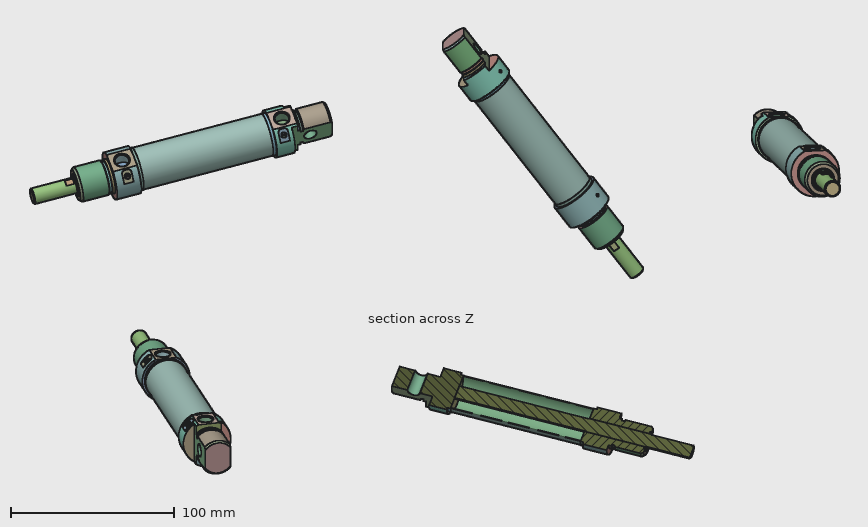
import cadquery as cq
import math


total_length = 190.0
nose_face_y = 28.0
front_head_y = 50.0
rear_head_end_y = 168.0
head_length = 15.5
collar_length = 2.0
front_collar_y = front_head_y + head_length
rear_head_y = rear_head_end_y - head_length
tube_start_y = front_collar_y + collar_length
tube_end_y = rear_head_y - collar_length

head_radius = 15.0
port_face_z = 13.5
collar_radius = 13.5
nose_radius = 11.0
relief_radius = 9.9
relief_offset = 1.7
relief_width = 1.6
relief_slope_length = 0.55
nose_chamfer_length = 1.6
nose_chamfer_height = 1.3

recess_mouth_radius = 7.1
recess_radius = 6.7
recess_depth = 1.0
lip_base_radius = 5.9
lip_tip_radius = 5.25
lip_projection = 0.6

clevis_width = 16.0
clevis_shoulder_y = 164.0
pin_hole_diameter = 8.0
pin_hole_y = 176.0
clevis_chamfer_length = 1.2
clevis_chamfer_height = 1.0

port_diameter = 8.57
port_mouth_diameter = 9.9
port_floor_radius = 6.5
port_mouth_depth = (port_mouth_diameter - port_diameter) / 2

front_screw_y = 58.0
rear_screw_y = (rear_head_y + clevis_shoulder_y) / 2
screw_angle = 45.0
screw_diameter = 3.4
screw_hole_diameter = 3.5
screw_floor_distance = 9.0
screw_head_distance = 15.15
screw_slot_width = 0.6
screw_slot_depth = 0.8
pocket_floor_distance = 14.35
pocket_width = 6.0
pocket_corner_radius = 2.0
pocket_round_end = 4.0
bleed_hole_diameter = 1.8
bleed_hole_depth = 2.0
bleed_hole_z = -8.2

tube_radius = 13.3
tube_bore_radius = 12.5
rod_radius = 5.0
rod_tip_radius = 4.25
rod_flat_height = 4.6
rod_flat_start_y = 21.6
rod_flat_end_y = 26.7


def revolve_about_y(points):
    """Turn a closed (radius, y) outline about the Y axis."""
    return cq.Workplane("XY").polyline(points).close().revolve(360, (0, 0, 0), (0, 1, 0))


def cylinder_y(radius, start_y, end_y):
    return cq.Workplane("XZ", origin=(0, start_y, 0)).circle(radius).extrude(start_y - end_y)


def box_between(low, high):
    size = [b - a for a, b in zip(low, high)]
    return cq.Workplane("XY").box(*size, centered=False).translate(low)


def radial_plane(angle, distance, y):
    """Plane facing away from the Y axis; its own x direction runs around the head."""
    direction = (math.cos(math.radians(angle)), 0, math.sin(math.radians(angle)))
    tangent = (-direction[2], 0, direction[0])
    origin = (distance * direction[0], y, distance * direction[2])
    return cq.Workplane(cq.Plane(origin, tangent, direction))


def cut_port_face(head, start_y, end_y):
    above = box_between((-head_radius, start_y, port_face_z), (head_radius, end_y, head_radius))
    return head.cut(above)


def port_cutter(y):
    mouth_plane = cq.Workplane("XY", origin=(0, y, port_face_z))
    bore = mouth_plane.circle(port_diameter / 2).extrude(-port_face_z)
    core = cylinder_y(port_floor_radius, y - port_diameter, y + port_diameter)
    mouth = cq.Workplane(
        cq.Solid.makeCone(
            port_diameter / 2,
            port_mouth_diameter / 2,
            port_mouth_depth,
            pnt=cq.Vector(0, y, port_face_z - port_mouth_depth),
        )
    )
    return bore.cut(core).union(mouth)


def screw_hole_cutter(y):
    """Flat pocket, rounded at its upper end, with the screw hole through its floor."""
    open_end = math.sqrt(head_radius**2 - pocket_floor_distance**2)
    outline = (
        cq.Sketch()
        .push([((pocket_round_end - open_end) / 2, 0)])
        .rect(pocket_round_end + open_end, pocket_width)
        .reset()
        .vertices(">X")
        .fillet(pocket_corner_radius)
    )
    pocket = (
        radial_plane(screw_angle, pocket_floor_distance, y)
        .placeSketch(outline)
        .extrude(head_radius - pocket_floor_distance)
    )
    hole = (
        radial_plane(screw_angle, screw_floor_distance, y)
        .circle(screw_hole_diameter / 2)
        .extrude(pocket_floor_distance - screw_floor_distance)
    )
    return pocket.union(hole)


def bleed_hole_cutter(y):
    angle = 180 - math.degrees(math.asin(bleed_hole_z / head_radius))
    return (
        radial_plane(angle, head_radius - bleed_hole_depth, y)
        .circle(bleed_hole_diameter / 2)
        .extrude(2 * bleed_hole_depth)
    )


def cut_screw_and_bleed_holes(head, y):
    head = head.cut(screw_hole_cutter(y))
    return head.cut(bleed_hole_cutter(y))


def make_front_head():
    relief_end_y = front_head_y - relief_offset
    relief_start_y = relief_end_y - relief_width
    head = revolve_about_y([
        (rod_radius, tube_start_y),
        (collar_radius, tube_start_y),
        (collar_radius, front_collar_y),
        (head_radius, front_collar_y),
        (head_radius, front_head_y),
        (nose_radius, front_head_y),
        (nose_radius, relief_end_y),
        (relief_radius, relief_end_y),
        (relief_radius, relief_start_y),
        (nose_radius, relief_start_y - relief_slope_length),
        (nose_radius, nose_face_y + nose_chamfer_length),
        (nose_radius - nose_chamfer_height, nose_face_y),
        (recess_mouth_radius, nose_face_y),
        (recess_radius, nose_face_y + recess_mouth_radius - recess_radius),
        (recess_radius, nose_face_y + recess_depth),
        (lip_base_radius, nose_face_y + recess_depth),
        (lip_tip_radius, nose_face_y - lip_projection),
        (rod_radius, nose_face_y - lip_projection),
    ])
    head = cut_port_face(head, front_head_y, front_collar_y)
    head = head.cut(port_cutter(front_head_y + head_length / 2))
    return cut_screw_and_bleed_holes(head, front_screw_y)


def cut_clevis_flats(head):
    for x in (-head_radius - clevis_width / 2, clevis_width / 2):
        side = box_between(
            (x, clevis_shoulder_y, -head_radius),
            (x + head_radius, total_length, head_radius),
        )
        head = head.cut(side)
    return head


def make_rear_head():
    relief_start_y = rear_head_end_y + relief_offset
    relief_end_y = relief_start_y + relief_width
    head = revolve_about_y([
        (0, tube_end_y),
        (collar_radius, tube_end_y),
        (collar_radius, rear_head_y),
        (head_radius, rear_head_y),
        (head_radius, rear_head_end_y),
        (nose_radius, rear_head_end_y),
        (nose_radius, relief_start_y),
        (relief_radius, relief_start_y),
        (relief_radius, relief_end_y),
        (nose_radius, relief_end_y + relief_slope_length),
        (nose_radius, total_length - clevis_chamfer_length),
        (nose_radius - clevis_chamfer_height, total_length),
        (0, total_length),
    ])
    head = cut_port_face(head, rear_head_y, rear_head_end_y)
    head = head.cut(port_cutter(rear_head_y + head_length / 2))
    head = cut_screw_and_bleed_holes(head, rear_screw_y)
    head = cut_clevis_flats(head)
    pin_hole = (
        cq.Workplane("YZ", origin=(-clevis_width / 2, pin_hole_y, 0))
        .circle(pin_hole_diameter / 2)
        .extrude(clevis_width)
    )
    return head.cut(pin_hole)


def make_tube():
    outside = cylinder_y(tube_radius, tube_start_y, tube_end_y)
    return outside.cut(cylinder_y(tube_bore_radius, tube_start_y, tube_end_y))


def make_rod():
    rod = revolve_about_y([
        (0, 0),
        (rod_tip_radius, 0),
        (rod_radius, rod_radius - rod_tip_radius),
        (rod_radius, tube_end_y),
        (0, tube_end_y),
    ])
    for z in (rod_flat_height, -rod_flat_height - rod_radius):
        rod = rod.cut(box_between(
            (-rod_radius, rod_flat_start_y, z),
            (rod_radius, rod_flat_end_y, z + rod_radius),
        ))
    return rod


def make_cushion_screw(y):
    shank = (
        radial_plane(screw_angle, screw_floor_distance, y)
        .circle(screw_diameter / 2)
        .extrude(screw_head_distance - screw_floor_distance)
    )
    slot = (
        radial_plane(screw_angle, screw_head_distance - screw_slot_depth, y)
        .rect(screw_slot_width, 2 * screw_diameter)
        .extrude(2 * screw_slot_depth)
    )
    return shank.cut(slot)


front_head = make_front_head()
rear_head = make_rear_head()
tube = make_tube()
rod = make_rod()
cushion_screws = [make_cushion_screw(y) for y in (front_screw_y, rear_screw_y)]

result = cq.Compound.makeCompound([
    front_head.val(),
    rear_head.val(),
    tube.val(),
    rod.val(),
    *[screw.val() for screw in cushion_screws],
])